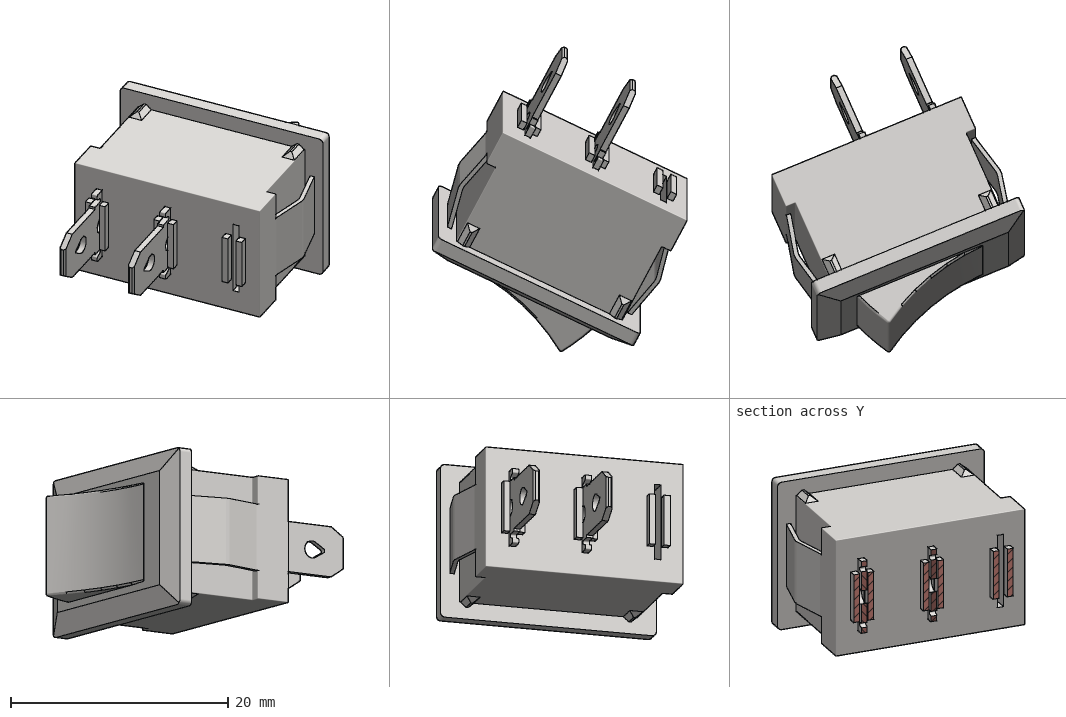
import cadquery as cq
import math


bezel_width = 20.8
bezel_height = 14.7
bezel_rim = 1.3
bezel_depth = 2.2
bezel_corner_radius = 0.45
bezel_slope_run = 2.0

neck_width = 17.1
base_width = 19.0
body_height = 11.55
neck_length = 8.0
body_length = 11.38
body_edge_radius = 0.07

clip_height = 6.2
clip_thickness = 0.43
clip_end_x = base_width / 2
clip_bulge = 0.83
clip_bend_start = 3.87
clip_bend_length = 0.38
clip_foot_start = 7.83

nub_offset = 7.83
nub_base_width = 1.26
nub_crest_width = 0.2
nub_rise = 0.45
nub_length = 2.05
nub_crest_length = 1.5

rocker_height = 9.35
rocker_low_x = -5.8
rocker_low_y = 2.25
rocker_tip_x = 5.08
rocker_tip_y = 5.79
rocker_foot_x = 6.76
rocker_dish_radius = 21.0
rocker_end_radius = 20.0
rocker_edge_radius = 0.2
rocker_tip_radius = 0.22
rocker_root_y = bezel_rim

terminal_pitch = 7.0
slot_centers = [-terminal_pitch, 0, terminal_pitch]
fitted_centers = slot_centers[:2]
slot_shift = 0.04
slot_depth = 2.0
rib_width = 0.6
rib_gap = 0.82
rib_height = 4.8
rib_length = 0.75

blade_thickness = 0.6
root_height = 7.2
shoulder_height = 5.15
blade_height = 4.7
blade_tip_height = 2.8
prong_y = -12.42
prong_width = 0.46
notch_y = -11.73
notch_width = 0.3
notch_corner_radius = 0.13
prong_corner_radius = 0.12
selection_margin = 0.05
shoulder_y = -12.87
taper_y = -17.65
tip_y = -19.11
tip_chamfer = 0.17
tip_chamfer_length = 0.17
hole_diameter = 1.6
hole_y = -15.52
hole_point_y = -16.92
hole_point_radius = 0.2
inner_hole_y = -11.6


def box(x_min, x_max, y_min, y_max, z_size):
    """Box given by its X and Y limits, centred on Z = 0."""
    return cq.Workplane("XY").box(x_max - x_min, y_max - y_min, z_size).translate(
        ((x_min + x_max) / 2, (y_min + y_max) / 2, 0)
    )


def make_bezel():
    """Straight rim with a sloped face above it, its four corners rounded."""
    rim = box(-bezel_width / 2, bezel_width / 2, 0, bezel_rim, bezel_height)
    slope = (
        cq.Workplane("XZ", origin=(0, bezel_rim, 0))
        .rect(bezel_width, bezel_height)
        .workplane(offset=bezel_rim - bezel_depth)
        .rect(bezel_width - 2 * bezel_slope_run, bezel_height - 2 * bezel_slope_run)
        .loft(combine=True)
    )
    rounded_block = box(-bezel_width / 2, bezel_width / 2, 0, bezel_depth, bezel_height)
    rounded_block = rounded_block.edges("|Y").fillet(bezel_corner_radius)
    return rim.union(slope).intersect(rounded_block)


def make_body():
    """Narrow neck behind the bezel and a wider base that carries the terminals."""
    neck = box(-neck_width / 2, neck_width / 2, -body_length, bezel_rim / 2, body_height)
    base = box(-base_width / 2, base_width / 2, -body_length, -neck_length, body_height)
    return neck.union(base).edges().fillet(body_edge_radius)


def make_clip():
    """Bent leaf on the +X end, running from the bezel to the wide base."""
    bend_x = clip_end_x + clip_bulge
    bend_end = clip_bend_start + clip_bend_length
    outer = [
        (clip_end_x, 0),
        (bend_x, -clip_bend_start),
        (bend_x, -bend_end),
        (clip_end_x, -clip_foot_start),
        (clip_end_x, -neck_length - body_edge_radius),
    ]
    inner = [(x - clip_thickness, y) for x, y in reversed(outer)]
    clip = cq.Workplane("XY").polyline(outer + inner).close()
    return clip.extrude(clip_height / 2, both=True)


def make_nub(x_center):
    """Ridge with a sloped end on the +Z face of the body."""
    base_z = body_height / 2
    half_base = nub_base_width / 2
    half_crest = nub_crest_width / 2
    ridge = (
        cq.Workplane("XZ")
        .polyline(
            [
                (x_center - half_base, base_z - body_edge_radius),
                (x_center - half_base, base_z),
                (x_center - half_crest, base_z + nub_rise),
                (x_center + half_crest, base_z + nub_rise),
                (x_center + half_base, base_z),
                (x_center + half_base, base_z - body_edge_radius),
            ]
        )
        .close()
        .extrude(nub_length)
    )
    side_profile = (
        cq.Workplane("YZ", origin=(x_center, 0, 0))
        .polyline(
            [
                (0, base_z - body_edge_radius),
                (0, base_z + nub_rise),
                (-nub_crest_length, base_z + nub_rise),
                (-nub_length, base_z),
                (-nub_length, base_z - body_edge_radius),
            ]
        )
        .close()
        .extrude(nub_base_width, both=True)
    )
    return ridge.intersect(side_profile)


def make_rocker():
    """Raised rocker half: a dished top face and a bulging end face."""
    profile = (
        cq.Workplane("XY", origin=(0, 0, -rocker_height / 2))
        .moveTo(rocker_low_x, rocker_root_y)
        .lineTo(rocker_low_x, rocker_low_y)
        .radiusArc((rocker_tip_x, rocker_tip_y), -rocker_dish_radius)
        .radiusArc((rocker_foot_x, bezel_depth), rocker_end_radius)
        .lineTo(rocker_foot_x, rocker_root_y)
        .close()
    )
    rocker = profile.extrude(rocker_height)
    tip = cq.selectors.NearestToPointSelector((rocker_tip_x, rocker_tip_y, 0))
    rocker = rocker.edges("|Z").edges(tip).fillet(rocker_tip_radius)
    return rocker.faces("<Z or >Z").edges().fillet(rocker_edge_radius)


def make_ribs(x_center):
    """Pair of guide ribs flanking a terminal slot."""
    ribs = cq.Workplane("XY")
    for side in (-1, 1):
        rib_x = x_center + side * (rib_gap + rib_width) / 2
        rib = box(
            rib_x - rib_width / 2,
            rib_x + rib_width / 2,
            -body_length - rib_length,
            -body_length + body_edge_radius,
            rib_height,
        )
        ribs = ribs.union(rib)
    return ribs


def make_slot(x_center):
    """Pocket that takes the root of a terminal."""
    slot_x = x_center + slot_shift
    return box(
        slot_x - blade_thickness / 2,
        slot_x + blade_thickness / 2,
        -body_length - rib_length,
        -body_length + slot_depth,
        root_height,
    )


def make_housing():
    """Body, bezel, rocker, clips, nubs and guide ribs as one solid with three terminal slots."""
    housing = make_body().union(make_bezel()).union(make_rocker())
    clip = make_clip()
    housing = housing.union(clip).union(clip.mirror("YZ"))
    for x_center in (-nub_offset, nub_offset):
        nub = make_nub(x_center)
        housing = housing.union(nub).union(nub.mirror("XY"))
    for x_center in slot_centers:
        housing = housing.union(make_ribs(x_center)).cut(make_slot(x_center))
    return housing


def make_teardrop_hole():
    """Round hole drawn out by two tangent lines to a small rounded point toward the blade tip."""
    hole_radius = hole_diameter / 2
    point_center_y = hole_point_y + hole_point_radius
    spacing = hole_y - point_center_y
    sine = (hole_radius - hole_point_radius) / spacing
    cosine = math.sqrt(1 - sine**2)
    return (
        cq.Workplane("YZ")
        .moveTo(hole_y - hole_radius * sine, hole_radius * cosine)
        .threePointArc(
            (hole_y + hole_radius, 0), (hole_y - hole_radius * sine, -hole_radius * cosine)
        )
        .lineTo(point_center_y - hole_point_radius * sine, -hole_point_radius * cosine)
        .threePointArc(
            (hole_point_y, 0),
            (point_center_y - hole_point_radius * sine, hole_point_radius * cosine),
        )
        .close()
        .extrude(blade_thickness, both=True)
    )


def fillet_corners_at(plate, y, radius):
    """Round the plate corners that lie at the given Y."""
    corner_zone = cq.selectors.BoxSelector(
        (-blade_thickness, y - selection_margin, -root_height),
        (blade_thickness, y + selection_margin, root_height),
    )
    return plate.edges("|X").edges(corner_zone).fillet(radius)


def make_terminal(x_center):
    """Flat blade with a hooked prong beside each shoulder, a chamfered tip and two holes."""
    root_z = root_height / 2
    shoulder_z = shoulder_height / 2
    blade_z = blade_height / 2
    tip_z = blade_tip_height / 2
    notch_top_z = shoulder_z + notch_width
    half_outline = [
        (-body_length + slot_depth, 0),
        (-body_length + slot_depth, root_z),
        (prong_y, root_z),
        (prong_y, root_z - prong_width),
        (notch_y, notch_top_z),
        (notch_y, shoulder_z),
        (shoulder_y, shoulder_z),
        (shoulder_y, blade_z),
        (taper_y, blade_z),
        (tip_y, tip_z),
        (tip_y, 0),
    ]
    half = (
        cq.Workplane("YZ")
        .polyline(half_outline)
        .close()
        .extrude(blade_thickness / 2, both=True)
    )
    half = fillet_corners_at(half, prong_y, prong_corner_radius)
    half = fillet_corners_at(half, notch_y, notch_corner_radius)
    blade = half.union(half.mirror("XY"))
    blade = blade.faces("<Y").edges("|Z").chamfer(tip_chamfer_length, tip_chamfer)

    inner_hole = (
        cq.Workplane("YZ")
        .center(inner_hole_y, 0)
        .circle(hole_diameter / 2)
        .extrude(blade_thickness, both=True)
    )
    return blade.cut(make_teardrop_hole()).cut(inner_hole).translate((x_center + slot_shift, 0, 0))


housing = make_housing()
terminals = [make_terminal(x_center) for x_center in fitted_centers]

result = cq.Compound.makeCompound([housing.val(), *[terminal.val() for terminal in terminals]])